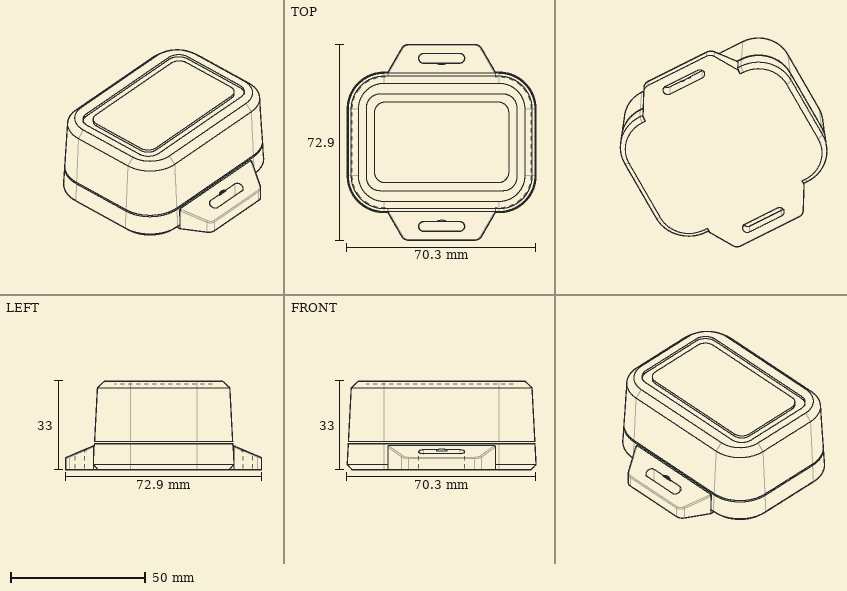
import cadquery as cq
import math

total_height = 33.0
block_length = 70.55
block_width = 52.55
block_corner_radius = 13.9
draft_angle = 3.0
base_top = 9.8
lid_bottom = 10.4
base_chamfer = 2.0
lid_chamfer = 2.55

groove_length = 56.0
groove_width = 36.0
groove_outer_radius = 5.0
groove_inner_radius = 4.0
groove_band = 3.0
groove_depth = 1.0

ear_tip_y = 36.45
ear_root_y = 26.1
ear_inner_y = block_width / 2 - base_chamfer
ear_root_width = 40.0
ear_side_angle = 30.0
ear_tip_height = 4.5
ear_slope_angle = 23.0
ear_corner_radius = 3.0
ear_edge_fillet = 0.5

slot_length = 17.05
slot_diameter = 3.5
slot_center_y = 31.3
seat_diameter = 7.0
seat_center_y = 32.4
seat_floor = 7.1


def drafted_block(bottom, top):
    """Slice of the drafted block between two heights."""
    inset = bottom * math.tan(math.radians(draft_angle))
    outline = cq.Sketch().rect(block_length - 2 * inset, block_width - 2 * inset)
    outline = outline.vertices().fillet(block_corner_radius - inset)
    block = cq.Workplane("XY").workplane(offset=bottom).placeSketch(outline)
    return block.extrude(top - bottom, taper=draft_angle)


def rounded_plate(length, width, radius, bottom, thickness):
    """Upright-sided plate with rounded corners."""
    plate = cq.Workplane("XY").workplane(offset=bottom).rect(length, width).extrude(thickness)
    return plate.edges("|Z").fillet(radius)


def ear_plate(height):
    """Upright-sided plate that flares from the rounded ear tip to the root, on the -Y side."""
    half_root = ear_root_width / 2
    half_tip = half_root - (ear_tip_y - ear_root_y) * math.tan(math.radians(ear_side_angle))
    outline = [
        (-half_root, -ear_inner_y),
        (-half_root, -ear_root_y),
        (-half_tip, -ear_tip_y),
        (half_tip, -ear_tip_y),
        (half_root, -ear_root_y),
        (half_root, -ear_inner_y),
    ]
    plate = cq.Workplane("XY").polyline(outline).close().extrude(height)
    return plate.edges("|Z and <Y").fillet(ear_corner_radius)


def ear_wedge(inner_height):
    """Wedge that gives the ear its sloped top."""
    profile = [
        (-ear_tip_y, 0),
        (-ear_tip_y, ear_tip_height),
        (-ear_inner_y, inner_height),
        (-ear_inner_y, 0),
    ]
    return cq.Workplane("YZ").polyline(profile).close().extrude(ear_root_width / 2, both=True)


def ear_slot():
    """Cutter for the slot, running in X and going right through the ear."""
    slot = cq.Workplane("XY").center(0, -slot_center_y).slot2D(slot_length, slot_diameter)
    return slot.extrude(base_top)


def ear_seat():
    """Cutter for the round seat, open upward from its flat floor."""
    seat = cq.Workplane("XY").workplane(offset=seat_floor).center(0, -seat_center_y)
    return seat.circle(seat_diameter / 2).extrude(base_top - seat_floor)


def make_ear():
    """Complete ear on the -Y side."""
    rise = (ear_tip_y - ear_inner_y) * math.tan(math.radians(ear_slope_angle))
    inner_height = ear_tip_height + rise
    ear = ear_plate(inner_height).intersect(ear_wedge(inner_height))
    ear = ear.faces(">Z").edges("not >Y").fillet(ear_edge_fillet)
    return ear.cut(ear_slot()).cut(ear_seat())


def make_base():
    """Lower half of the enclosure with an ear on each long side."""
    base = drafted_block(0, base_top).faces("<Z").edges().chamfer(base_chamfer)
    ear = make_ear()
    for turn in (0, 180):
        base = base.union(ear.rotate((0, 0, 0), (0, 0, 1), turn))
    return base


def groove():
    """Ring-shaped cutter for the groove in the lid."""
    floor = total_height - groove_depth
    island_length = groove_length - 2 * groove_band
    island_width = groove_width - 2 * groove_band
    outer = rounded_plate(groove_length, groove_width, groove_outer_radius, floor, groove_depth)
    island = rounded_plate(island_length, island_width, groove_inner_radius, floor, groove_depth)
    return outer.cut(island)


def make_lid():
    """Upper half of the enclosure."""
    lid = drafted_block(lid_bottom, total_height).faces(">Z").edges().chamfer(lid_chamfer)
    return lid.cut(groove())


base = make_base()
lid = make_lid()
result = cq.Compound.makeCompound([base.val(), lid.val()])